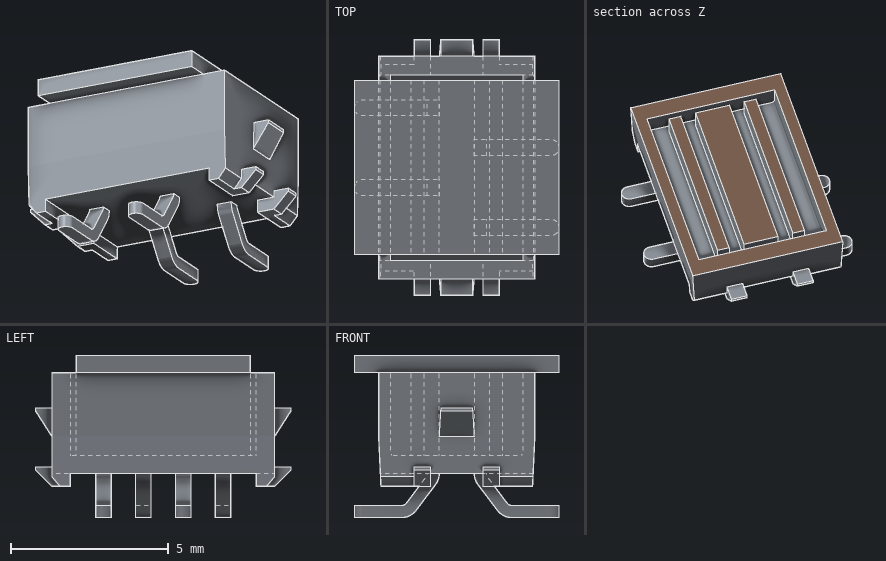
import cadquery as cq
import math

total_height = 5.15
plate_length_x = 6.5
plate_length_y = 5.53
plate_thickness = 0.54

housing_width = 4.96
housing_length = 7.07
housing_top = total_height - plate_thickness
housing_base = 1.4
draft_line = 2.58
foot_bottom = 1.0
foot_bottom_width = 4.82

foot_gap = 1.66
foot_chamfer_depth = 0.26
foot_chamfer_height = 0.31

cavity_width = 4.2
end_wall = 0.59
cavity_length = housing_length - 2 * end_wall
floor_thickness = 0.57
cavity_floor = housing_base + floor_thickness
cavity_fillet = 0.105

tongue_width = 1.135
rib_width = 0.4
rib_gap = 0.48
rib_center = tongue_width / 2 + rib_gap + rib_width / 2

total_length = 8.11
latch_reach = (total_length - housing_length) / 2
latch_tip_height = 0.1
clip_width = 0.52
clip_top = 1.61
nose_top = 3.49
nose_bottom = draft_line
nose_top_width = 1.005
nose_bottom_width = 1.11

lead_width = 0.5
lead_thickness = 0.39
lead_pitch = 1.265
lead_count = 4
bend_radius = 0.195
bend_angle = math.radians(53)
lead_inner_gap = 1.1


def box_between(size_x, size_y, bottom, top):
    """Box centred on the Z axis between two heights."""
    return cq.Workplane("XY").workplane(offset=bottom).rect(size_x, size_y).extrude(top - bottom)


def mirrored_ends(shape):
    """The shape at the -Y end together with its mirror image at the +Y end."""
    return shape.union(shape.mirror("XZ"))


def housing_block():
    """Solid housing with drafted lower sides and chamfered feet."""
    section = (
        cq.Workplane("XZ")
        .moveTo(-foot_bottom_width / 2, foot_bottom)
        .lineTo(foot_bottom_width / 2, foot_bottom)
        .lineTo(housing_width / 2, draft_line)
        .lineTo(housing_width / 2, housing_top)
        .lineTo(-housing_width / 2, housing_top)
        .lineTo(-housing_width / 2, draft_line)
        .close()
        .extrude(housing_length / 2, both=True)
    )
    between_end_feet = box_between(housing_width, cavity_length, foot_bottom, housing_base)
    between_side_feet = box_between(foot_gap, housing_length, foot_bottom, housing_base)
    end_face = -housing_length / 2
    foot_chamfer = (
        cq.Workplane("YZ")
        .moveTo(end_face, foot_bottom)
        .lineTo(end_face + foot_chamfer_depth, foot_bottom)
        .lineTo(end_face, foot_bottom + foot_chamfer_height)
        .close()
        .extrude(housing_width / 2, both=True)
    )
    return section.cut(between_end_feet).cut(between_side_feet).cut(mirrored_ends(foot_chamfer))


def cavity():
    """Open-topped cavity, rounded where the side walls meet the floor."""
    block = box_between(cavity_width, cavity_length, cavity_floor, housing_top)
    return block.edges("|Y and <Z").fillet(cavity_fillet)


def plug():
    """Tongue and ribs that reach from the cavity floor to the cover plate."""
    body = box_between(tongue_width, plate_length_y, cavity_floor, housing_top)
    rib = box_between(rib_width, plate_length_y, cavity_floor, housing_top)
    for side in (-1, 1):
        body = body.union(rib.translate((side * rib_center, 0, 0)))
    return body


def latch_wedge(bottom, top, root_depth, width):
    """Wedge at the -Y end: flat top, short upright tip and a sloping underside."""
    end_face = -housing_length / 2
    tip = end_face - latch_reach
    return (
        cq.Workplane("YZ")
        .moveTo(end_face + root_depth, top)
        .lineTo(tip, top)
        .lineTo(tip, top - latch_tip_height)
        .lineTo(end_face, bottom)
        .lineTo(end_face + root_depth, bottom)
        .close()
        .extrude(width / 2, both=True)
    )


def nose():
    """Central latch, wider at its bottom than at its top."""
    wedge = latch_wedge(nose_bottom, nose_top, end_wall / 2, nose_bottom_width)
    outline = (
        cq.Workplane("XZ")
        .moveTo(-nose_bottom_width / 2, nose_bottom)
        .lineTo(nose_bottom_width / 2, nose_bottom)
        .lineTo(nose_top_width / 2, nose_top)
        .lineTo(-nose_top_width / 2, nose_top)
        .close()
        .extrude(total_length / 2, both=True)
    )
    return mirrored_ends(wedge.intersect(outline))


def clips():
    """Two lower latches at each end, flush with the inner sides of the feet."""
    clip = mirrored_ends(latch_wedge(foot_bottom, clip_top, end_wall, clip_width))
    offset = (foot_gap + clip_width) / 2
    return clip.translate((-offset, 0, 0)).union(clip.translate((offset, 0, 0)))


def left_lead():
    """Lead on the -X side: a flat foot with a round tip, a slope and an upright stem."""
    mid_radius = bend_radius + lead_thickness / 2
    mid_height = lead_thickness / 2
    tip_x = -plate_length_x / 2
    stem_x = -(lead_inner_gap + lead_thickness) / 2

    lower_center_z = mid_height + mid_radius
    upper_center_x = stem_x - mid_radius
    lower_center_x = upper_center_x - (housing_base - lower_center_z) / math.tan(bend_angle)
    bend_x = mid_radius * math.sin(bend_angle)
    bend_z = -mid_radius * math.cos(bend_angle)

    path = (
        cq.Workplane("XZ")
        .moveTo(tip_x, mid_height)
        .lineTo(lower_center_x, mid_height)
        .tangentArcPoint((lower_center_x + bend_x, lower_center_z + bend_z), relative=False)
        .lineTo(upper_center_x + bend_x, housing_base + bend_z)
        .tangentArcPoint((stem_x, housing_base), relative=False)
        .lineTo(stem_x, housing_base + floor_thickness / 2)
    )
    bar = (
        cq.Workplane("YZ", origin=(tip_x, 0, mid_height))
        .rect(lead_width, lead_thickness)
        .sweep(path)
    )
    tip_radius = lead_width / 2
    tip_square = (
        cq.Workplane("XY")
        .center(tip_x + tip_radius / 2, 0)
        .rect(tip_radius, lead_width)
        .extrude(lead_thickness)
    )
    tip_round = (
        cq.Workplane("XY")
        .center(tip_x + tip_radius, 0)
        .circle(tip_radius)
        .extrude(lead_thickness)
    )
    return bar.cut(tip_square.cut(tip_round))


def leads():
    """Row of leads along Y that exit alternately to the +X and -X sides."""
    left = left_lead()
    right = left.mirror("YZ")
    row = []
    for index in range(lead_count):
        lead = right if index % 2 == 0 else left
        position = (index - (lead_count - 1) / 2) * lead_pitch
        row.append(lead.translate((0, position, 0)))
    return row


cover_plate = box_between(plate_length_x, plate_length_y, housing_top, total_height)
result = housing_block().cut(cavity())
for piece in [cover_plate, plug(), nose(), clips(), *leads()]:
    result = result.union(piece)